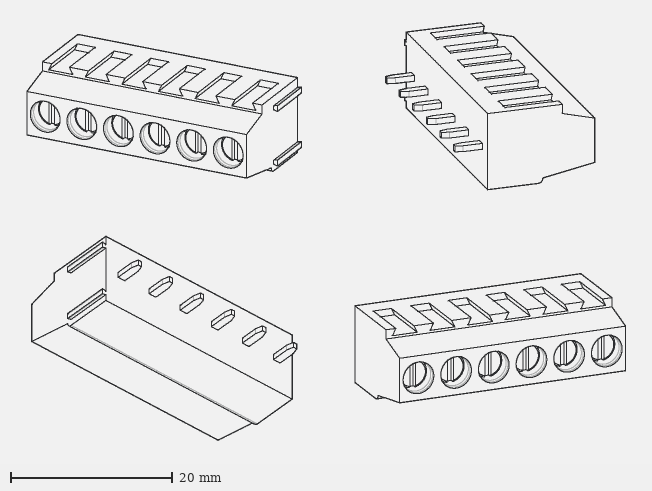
import cadquery as cq

POLES = 6
HOUSING_LENGTH = 30.5
HOUSING_DEPTH = 14.1
HOUSING_HEIGHT = 10.1
PITCH = HOUSING_LENGTH / POLES

TOP_STEP_DEPTH = 4.3
TOP_STEP_DROP = 1.2
FRONT_TOP_DROP = 2.35
FRONT_BOTTOM_Z = 1.85
FOOT_FRONT_Y = 6.83
FOOT_RADIUS = 0.65

POCKET_TOP_WIDTH = 2.45
POCKET_FLOOR_WIDTH = 3.32
POCKET_DROP = 0.9
POCKET_REAR_WALL = 2.73

BORE_DIAMETER = 3.88
BORE_Z = 4.8
BORE_DEPTH = 2.58
RIM_DIAMETER = 4.13
RIM_DEPTH = 0.25
THROAT_DIAMETER = 4.0
THROAT_DEPTH = 0.68
SLOT_DEPTH = 0.78
HEAD_FILLET = 0.22
SLOT_WIDTH = 0.78

PIN_WIDTH = 1.1
PIN_THICKNESS = 0.78
PIN_LENGTH = 3.5
PIN_TIP_WIDTH = 0.53
PIN_TAPER_LENGTH = 1.0

KEY_PROJECTION = 0.55
KEY_NECK_WIDTH = 0.53
KEY_TIP_WIDTH = 0.78
KEY_TIP_THICKNESS = 0.12
KEY_LENGTH = 6.6
KEY_CENTERS_Z = (1.18, 8.5)


def pole_positions():
    return [(pole + 0.5) * PITCH for pole in range(POLES)]


def make_housing():
    return (
        cq.Workplane("YZ")
        .moveTo(0, FRONT_BOTTOM_Z)
        .lineTo(FOOT_FRONT_Y, FOOT_RADIUS)
        .radiusArc((FOOT_FRONT_Y + FOOT_RADIUS, 0), -FOOT_RADIUS)
        .lineTo(HOUSING_DEPTH, 0)
        .lineTo(HOUSING_DEPTH, HOUSING_HEIGHT)
        .lineTo(TOP_STEP_DEPTH, HOUSING_HEIGHT)
        .lineTo(TOP_STEP_DEPTH, HOUSING_HEIGHT - TOP_STEP_DROP)
        .lineTo(0, HOUSING_HEIGHT - FRONT_TOP_DROP)
        .close()
        .extrude(HOUSING_LENGTH)
    )


def make_pocket(x):
    """Dovetail pocket, open towards the front step."""
    rear_y = HOUSING_DEPTH - POCKET_REAR_WALL
    floor_z = HOUSING_HEIGHT - POCKET_DROP
    return (
        cq.Workplane("XZ", origin=(x, rear_y, 0))
        .moveTo(-POCKET_FLOOR_WIDTH / 2, floor_z)
        .lineTo(POCKET_FLOOR_WIDTH / 2, floor_z)
        .lineTo(POCKET_TOP_WIDTH / 2, HOUSING_HEIGHT)
        .lineTo(-POCKET_TOP_WIDTH / 2, HOUSING_HEIGHT)
        .close()
        .extrude(rear_y - TOP_STEP_DEPTH)
    )


def make_screw_bore(x):
    """Space in front of a screw head, including the slot cut across the head."""
    bore_radius = BORE_DIAMETER / 2
    head_top_y = BORE_DEPTH - SLOT_DEPTH
    void = (
        cq.Workplane("XY")
        .moveTo(0, 0)
        .lineTo(RIM_DIAMETER / 2, 0)
        .lineTo(THROAT_DIAMETER / 2, RIM_DEPTH)
        .lineTo(bore_radius, THROAT_DEPTH)
        .lineTo(bore_radius, head_top_y + HEAD_FILLET)
        .radiusArc((bore_radius - HEAD_FILLET, head_top_y), -HEAD_FILLET)
        .lineTo(0, head_top_y)
        .close()
        .revolve(360, (0, 0, 0), (0, 1, 0))
    )
    slot = (
        cq.Workplane("XZ")
        .circle(bore_radius)
        .extrude(-BORE_DEPTH)
        .intersect(cq.Workplane("XY").box(SLOT_WIDTH, 2 * BORE_DEPTH, BORE_DIAMETER))
    )
    return void.union(slot).translate((x, 0, BORE_Z))


def make_pin(x):
    """Flat pin with a tapered tip, set on the rear face at mid height."""
    shoulder_y = PIN_LENGTH - PIN_TAPER_LENGTH
    return (
        cq.Workplane("XY")
        .moveTo(-PIN_WIDTH / 2, 0)
        .lineTo(PIN_WIDTH / 2, 0)
        .lineTo(PIN_WIDTH / 2, shoulder_y)
        .lineTo(PIN_TIP_WIDTH / 2, PIN_LENGTH)
        .lineTo(-PIN_TIP_WIDTH / 2, PIN_LENGTH)
        .lineTo(-PIN_WIDTH / 2, shoulder_y)
        .close()
        .extrude(PIN_THICKNESS / 2, both=True)
        .translate((x, HOUSING_DEPTH, HOUSING_HEIGHT / 2))
    )


def make_key(z):
    """Rail on the +X end face that widens from a neck to a flat tip."""
    flare_end_x = KEY_PROJECTION - KEY_TIP_THICKNESS
    return (
        cq.Workplane("XZ", origin=(HOUSING_LENGTH, HOUSING_DEPTH, z))
        .moveTo(0, -KEY_NECK_WIDTH / 2)
        .lineTo(flare_end_x, -KEY_TIP_WIDTH / 2)
        .lineTo(KEY_PROJECTION, -KEY_TIP_WIDTH / 2)
        .lineTo(KEY_PROJECTION, KEY_TIP_WIDTH / 2)
        .lineTo(flare_end_x, KEY_TIP_WIDTH / 2)
        .lineTo(0, KEY_NECK_WIDTH / 2)
        .close()
        .extrude(KEY_LENGTH)
    )


result = make_housing()
for pole_x in pole_positions():
    result = result.cut(make_pocket(pole_x))
    result = result.cut(make_screw_bore(pole_x))
    result = result.union(make_pin(pole_x))
for key_z in KEY_CENTERS_Z:
    result = result.union(make_key(key_z))